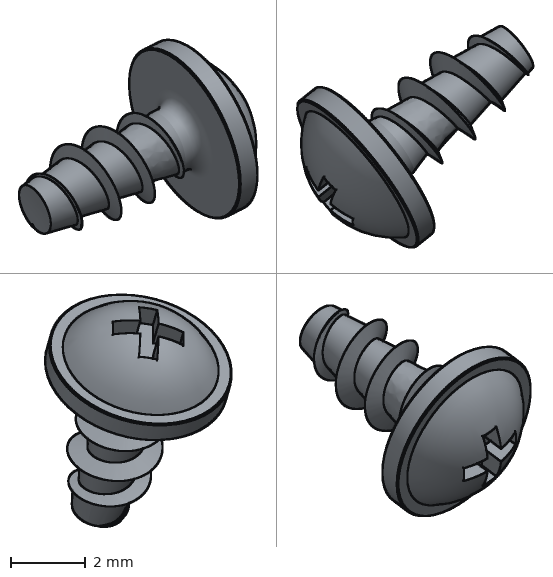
import cadquery as cq
import math


FLANGE_RADIUS = 2.5
FLANGE_THICKNESS = 0.62
FLANGE_EDGE_CHAMFER = 0.035
DOME_BASE_RADIUS = 2.135
HEAD_HEIGHT = 1.77

RECESS_WIDTH = 0.5
RECESS_LENGTH = 1.93
RECESS_DEPTH = 0.745

NECK_RADIUS = 0.905
NECK_FILLET = 0.385
NECK_END = 0.615
NECK_TAPER = 0.25
CORE_RADIUS = 0.68
SHANK_LENGTH = 4.99

TIP_RADIUS = 0.715
TIP_TAPER = 0.17
DIMPLE_RADIUS = 0.65
DIMPLE_DEPTH = 0.035

PITCH = 1.12
CREST_RADIUS = 1.25
ROOT_RADIUS = 0.64
FLANK_SLOPE = 0.37
FIRST_CREST = 0.8
START_CREST_RADIUS = 0.98
START_CREST = FIRST_CREST - PITCH / 4
FULL_CREST = START_CREST + PITCH
FADE_CREST = 3.345
END_CREST = 4.92
END_CREST_RADIUS = 0.74

SAW_WIDE_RADIUS = 0.89
SAW_NARROW_RADIUS = 0.7
SAW_BURIED_RADIUS = 0.54
SAW_GAP = 0.01
SAW_LENGTH = PITCH - SAW_GAP
SAW_START = FIRST_CREST - PITCH / 2

OVERLAP = 0.34

POINTS_PER_TURN = 24


def helix_edge(start, end, crest_start, crest_end):
    """Helical edge from one (radius, offset from the crest) to another."""
    count = math.ceil(POINTS_PER_TURN * (crest_end - crest_start) / PITCH)
    points = []
    for i in range(count + 1):
        part = i / count
        crest = crest_start + part * (crest_end - crest_start)
        radius = start[0] + part * (end[0] - start[0])
        offset = start[1] + part * (end[1] - start[1])
        angle = 2 * math.pi * (crest - FIRST_CREST) / PITCH
        points.append(cq.Vector(radius * math.cos(angle), radius * math.sin(angle), crest + offset))
    return cq.Edge.makeSpline(points)


def helical_ridge(start_section, end_section, crest_start, crest_end):
    """Solid ridge that blends between two sections while it winds round the axis."""
    edges = [
        helix_edge(start, end, crest_start, crest_end)
        for start, end in zip(start_section, end_section)
    ]
    faces = []
    for edge, following in zip(edges, edges[1:] + edges[:1]):
        faces.append(cq.Face.makeRuledSurface(edge, following))
    for corners in ([e.startPoint() for e in edges], [e.endPoint() for e in edges]):
        faces.append(cq.Face.makeFromWires(cq.Wire.makePolygon(corners, close=True)))
    solid = cq.Solid.makeSolid(cq.Shell.makeShell(faces))
    return cq.Workplane(obj=solid.fix())


def thread_section(crest_radius):
    half_width = FLANK_SLOPE * (crest_radius - ROOT_RADIUS)
    return [(ROOT_RADIUS, -half_width), (crest_radius, 0), (ROOT_RADIUS, half_width)]


def make_thread():
    stations = [
        (START_CREST, START_CREST_RADIUS),
        (FULL_CREST, CREST_RADIUS),
        (FADE_CREST, CREST_RADIUS),
        (END_CREST, END_CREST_RADIUS),
    ]
    return [
        helical_ridge(thread_section(r1), thread_section(r2), z1, z2)
        for (z1, r1), (z2, r2) in zip(stations, stations[1:])
    ]


def revolve_outline(outline):
    """Close an outline of (radius, distance) points and revolve it round the axis."""
    return outline.close().revolve(360, (0, 0, 0), (0, 1, 0))


def make_core():
    """Saw-tooth core of the shank, trimmed by the cone of the tip."""
    section = [
        (SAW_BURIED_RADIUS, 0),
        (SAW_WIDE_RADIUS, 0),
        (SAW_NARROW_RADIUS, SAW_LENGTH),
        (SAW_BURIED_RADIUS, SAW_LENGTH),
    ]
    saw = helical_ridge(section, section, SAW_START, SHANK_LENGTH)
    cylinder = (
        cq.Workplane("XY")
        .workplane(offset=-OVERLAP)
        .circle(CORE_RADIUS)
        .extrude(OVERLAP + SHANK_LENGTH + 2 * PITCH)
    )
    tip_cone = revolve_outline(
        cq.Workplane("XZ")
        .moveTo(0, -OVERLAP)
        .lineTo(TIP_RADIUS + TIP_TAPER * (SHANK_LENGTH + OVERLAP), -OVERLAP)
        .lineTo(TIP_RADIUS, SHANK_LENGTH)
        .lineTo(0, SHANK_LENGTH)
    )
    return cylinder.union(saw).intersect(tip_cone)


def make_head():
    """Domed head with its flange, the neck and the cone that runs into the core."""
    corner = RECESS_WIDTH / math.sqrt(2)
    rise = HEAD_HEIGHT - FLANGE_THICKNESS
    centre = (rise**2 + corner**2 - DOME_BASE_RADIUS**2) / (2 * rise)
    sphere_radius = math.hypot(DOME_BASE_RADIUS, centre)
    centre_z = -FLANGE_THICKNESS - centre
    middle_angle = (math.pi / 2 - math.atan2(centre, DOME_BASE_RADIUS)) / 2
    dome_middle = (
        sphere_radius * math.cos(middle_angle),
        centre_z - sphere_radius * math.sin(middle_angle),
    )
    rim_radius = FLANGE_RADIUS - FLANGE_EDGE_CHAMFER
    fillet_middle = NECK_FILLET * (1 - math.sqrt(0.5))
    taper_end = NECK_END + (NECK_RADIUS - CORE_RADIUS) / NECK_TAPER
    return revolve_outline(
        cq.Workplane("XZ")
        .moveTo(0, centre_z - sphere_radius)
        .threePointArc(dome_middle, (DOME_BASE_RADIUS, -FLANGE_THICKNESS))
        .lineTo(rim_radius, -FLANGE_THICKNESS)
        .lineTo(FLANGE_RADIUS, FLANGE_EDGE_CHAMFER - FLANGE_THICKNESS)
        .lineTo(FLANGE_RADIUS, -FLANGE_EDGE_CHAMFER)
        .lineTo(rim_radius, 0)
        .lineTo(NECK_RADIUS + NECK_FILLET, 0)
        .threePointArc((NECK_RADIUS + fillet_middle, fillet_middle), (NECK_RADIUS, NECK_FILLET))
        .lineTo(NECK_RADIUS, NECK_END)
        .lineTo(CORE_RADIUS, taper_end)
        .lineTo(0, taper_end)
    )


def make_recess():
    """Cross-shaped pocket made of two crossing slots."""
    top = cq.Workplane("XY").workplane(offset=-HEAD_HEIGHT - OVERLAP)
    depth = RECESS_DEPTH + OVERLAP
    slot = top.rect(RECESS_LENGTH, RECESS_WIDTH).extrude(depth)
    return slot.union(top.rect(RECESS_WIDTH, RECESS_LENGTH).extrude(depth))


def make_tip_dimple():
    """Ball that leaves a shallow dish in the end face."""
    ball_radius = (DIMPLE_RADIUS**2 + DIMPLE_DEPTH**2) / (2 * DIMPLE_DEPTH)
    ball_centre = SHANK_LENGTH - DIMPLE_DEPTH + ball_radius
    return cq.Workplane("XY").workplane(offset=ball_centre).sphere(ball_radius)


screw = make_core()
for piece in make_thread():
    screw = screw.union(piece)
screw = screw.union(make_head()).cut(make_recess()).cut(make_tip_dimple())
result = screw.rotate((0, 0, 0), (1, 0, 0), 90)